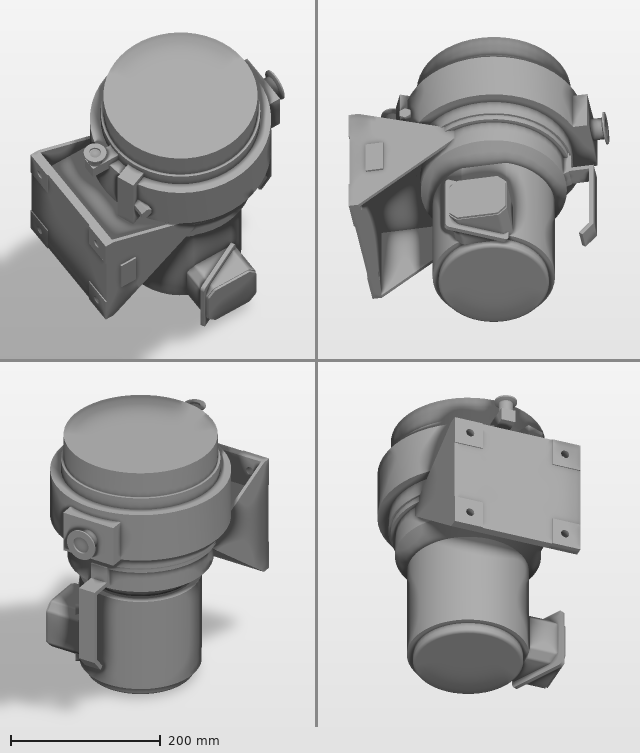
import cadquery as cq
import math

TOTAL_HEIGHT = 361.7
CAP_RADIUS = 103.0
CAP_BOTTOM = 324.8
BODY_RADIUS = 106.7
FLANGE_RADIUS = 121.0
FLANGE_TOP = 307.5
FLANGE_BOTTOM = 237.0
BODY_BOTTOM = 216.0
COLLAR_RADIUS = 103.8
COLLAR_BOTTOM = 207.5
WAIST_RADIUS = 97.5
WAIST_BOTTOM = 174.5
NECK_RADIUS = 72.7
NECK_TOP = 153.0
MOTOR_RADIUS = 81.7
MOTOR_TOP = 149.5
MOTOR_BOTTOM = 14.0
MOTOR_FLAT_X = 76.0
BASE_RADIUS = 73.8
BASE_EDGE_RADIUS = 4.0

PURGE_TUBE_RADIUS = 9.8
PURGE_FLANGE_RADIUS = 15.2
PURGE_BORE_RADIUS = 8.0
PURGE_Y = -137.5
PURGE_ARM_BOTTOM = 300.2
PURGE_ARM_TOP = 319.0
PURGE_PORT_LENGTH = 18.8

EXHAUST_TUBE_RADIUS = 14.5
EXHAUST_FLANGE_RADIUS = 21.7
EXHAUST_BORE_RADIUS = 12.0
EXHAUST_BLOCK_WIDTH = 78.5
EXHAUST_BLOCK_BOTTOM = FLANGE_BOTTOM
EXHAUST_BLOCK_TOP = 295.0
EXHAUST_BLOCK_Y = 134.0
EXHAUST_PORT_LENGTH = 19.0

PORT_RIM = 2.0
PORT_TAPER = 2.0
PORT_BORE_DEPTH = 3.0

VALVE_ANGLE = 22.0
VALVE_WIDTH = 25.3
VALVE_REACH = 131.0
VALVE_BOTTOM = 226.8
VALVE_TOP = 316.5
HEX_ACROSS_FLATS = 15.0
HEX_END_X = 78.0
HEX_Y = -106.7
HEX_Z = 264.0

HOUSING_WIDTH = 78.5
HOUSING_HEIGHT = 70.5
HOUSING_CHAMFER = 11.0
HOUSING_EDGE_RADIUS = 5.0
HOUSING_START_X = 73.8
LID_START_X = 122.0
LID_END_X = 125.0
LID_INSET = 1.0
COVER_SIZE = 88.0
COVER_THICKNESS = 5.8
COVER_CORNER_RADIUS = 5.0
COVER_ANGLE = 27.5
COVER_X = 96.2
COVER_Y = -7.2
HOUSING_Z = COVER_SIZE / 2

BRACKET_WIDTH = 181.0
BRACKET_BOTTOM = 91.0
BRACKET_TOP = 260.8
BRACKET_FACE_Y = -181.0
PAD_SIZE = 40.5
PAD_HEIGHT = 1.5
PLATE_INNER_Y = -168.0
WALL_THICKNESS = 4.7
WALL_TIP_Y = -35.5
WALL_TIP_TOP = 209.8
WALL_TIP_BOTTOM = 194.2
HOLE_RADIUS = 5.8
HOLE_SPACING_X = 136.5
HOLE_SPACING_Z = 130.0
HOLE_CENTER_Z = (BRACKET_BOTTOM + BRACKET_TOP) / 2
NAMEPLATE_THICKNESS = 2.5
NAMEPLATE_LENGTH = 24.0
NAMEPLATE_HEIGHT = 49.0
NAMEPLATE_Y = -145.5
NAMEPLATE_Z = 175.0

HOOK_WIDTH = 24.5
HOOK_THICKNESS = 6.0
HOOK_TAB_THICKNESS = 2.5
HOOK_SEAT_Y = 104.0
HOOK_OUTER_Y = 137.8
HOOK_TAB_TOP = 211.2
HOOK_ARM_TOP = 188.5
HOOK_BEND_Z = 79.5
HOOK_BEND_ANGLE = 40.0
HOOK_END_LENGTH = 24.0
SEAT_BOTTOM = 181.2
SEAT_INNER_BOTTOM = 177.2
SEAT_INNER_Y = 94.0


def box(x_range, y_range, z_range):
    """Axis-aligned box from its limits along X, Y and Z."""
    size = [end - start for start, end in (x_range, y_range, z_range)]
    return cq.Workplane().box(*size, centered=False).translate((x_range[0], y_range[0], z_range[0]))


def side_profile(points, x_start, width):
    """Extrude a Y-Z outline along +X."""
    return cq.Workplane("YZ", origin=(x_start, 0, 0)).polyline(points).close().extrude(width)


def pump_stack():
    outline = [
        (0, MOTOR_BOTTOM),
        (MOTOR_RADIUS, MOTOR_BOTTOM),
        (MOTOR_RADIUS, MOTOR_TOP),
        (NECK_RADIUS, MOTOR_TOP),
        (NECK_RADIUS, NECK_TOP),
        (WAIST_RADIUS, WAIST_BOTTOM),
        (WAIST_RADIUS, COLLAR_BOTTOM),
        (COLLAR_RADIUS, COLLAR_BOTTOM),
        (COLLAR_RADIUS, BODY_BOTTOM),
        (BODY_RADIUS, BODY_BOTTOM),
        (BODY_RADIUS, FLANGE_BOTTOM),
        (FLANGE_RADIUS, FLANGE_BOTTOM),
        (FLANGE_RADIUS, FLANGE_TOP),
        (BODY_RADIUS, FLANGE_TOP),
        (BODY_RADIUS, CAP_BOTTOM),
        (CAP_RADIUS, CAP_BOTTOM),
        (CAP_RADIUS, TOTAL_HEIGHT),
        (0, TOTAL_HEIGHT),
    ]
    stack = cq.Workplane("XZ").polyline(outline).close().revolve(360, (0, 0, 0), (0, 1, 0))
    motor_side = box(
        (MOTOR_FLAT_X, MOTOR_RADIUS), (-MOTOR_RADIUS, MOTOR_RADIUS), (MOTOR_BOTTOM, MOTOR_TOP)
    )
    base = cq.Workplane().circle(BASE_RADIUS).extrude(MOTOR_BOTTOM)
    base = base.faces("<Z").edges().fillet(BASE_EDGE_RADIUS)
    return stack.cut(motor_side).union(base)


def vacuum_port(tube_radius, flange_radius, bore_radius, length):
    """Flanged tube along +Z from the origin, with a shallow round recess in its end."""
    bore_floor = length - PORT_BORE_DEPTH
    outline = [
        (0, 0),
        (tube_radius, 0),
        (tube_radius, length - PORT_RIM - PORT_TAPER),
        (flange_radius, length - PORT_RIM),
        (flange_radius, length),
        (bore_radius, length),
        (bore_radius, bore_floor),
        (0, bore_floor),
    ]
    return cq.Workplane("XZ").polyline(outline).close().revolve(360, (0, 0, 0), (0, 1, 0))


def purge_port():
    arm = box(
        (-PURGE_TUBE_RADIUS, PURGE_TUBE_RADIUS),
        (PURGE_Y - PURGE_TUBE_RADIUS, 0),
        (PURGE_ARM_BOTTOM, PURGE_ARM_TOP),
    )
    port = vacuum_port(PURGE_TUBE_RADIUS, PURGE_FLANGE_RADIUS, PURGE_BORE_RADIUS, PURGE_PORT_LENGTH)
    return arm.union(port.translate((0, PURGE_Y, PURGE_ARM_TOP)))


def exhaust_port():
    block = box(
        (-EXHAUST_BLOCK_WIDTH / 2, EXHAUST_BLOCK_WIDTH / 2),
        (0, EXHAUST_BLOCK_Y),
        (EXHAUST_BLOCK_BOTTOM, EXHAUST_BLOCK_TOP),
    )
    port = vacuum_port(
        EXHAUST_TUBE_RADIUS, EXHAUST_FLANGE_RADIUS, EXHAUST_BORE_RADIUS, EXHAUST_PORT_LENGTH
    )
    middle_z = (EXHAUST_BLOCK_BOTTOM + EXHAUST_BLOCK_TOP) / 2
    port = port.rotate((0, 0, 0), (1, 0, 0), -90).translate((0, EXHAUST_BLOCK_Y, middle_z))
    return block.union(port)


def valve_block():
    block = box(
        (-VALVE_WIDTH / 2, VALVE_WIDTH / 2),
        (-VALVE_REACH, -WAIST_RADIUS),
        (VALVE_BOTTOM, VALVE_TOP),
    )
    block = block.rotate((0, 0, 0), (0, 0, 1), VALVE_ANGLE)
    across_corners = HEX_ACROSS_FLATS / math.cos(math.radians(30))
    start_x = VALVE_REACH * math.sin(math.radians(VALVE_ANGLE))
    fitting = (
        cq.Workplane("YZ", origin=(start_x, HEX_Y, HEX_Z))
        .transformed(rotate=(0, 0, 90))
        .polygon(6, across_corners)
        .extrude(HEX_END_X - start_x)
    )
    return block.union(fitting)


def chamfered_bar(start_x, end_x, inset):
    """Bar along +X with the housing's cross-section, drawn in by an inset on every side."""
    return (
        cq.Workplane("YZ", origin=(start_x, 0, HOUSING_Z))
        .rect(HOUSING_WIDTH - 2 * inset, HOUSING_HEIGHT - 2 * inset)
        .extrude(end_x - start_x)
        .edges("|X")
        .chamfer(HOUSING_CHAMFER)
        .edges("|X")
        .fillet(HOUSING_EDGE_RADIUS)
    )


def connector_housing():
    """Chamfered housing with a lid, passing through a square cover turned about Z."""
    housing = chamfered_bar(HOUSING_START_X, LID_START_X, 0)
    lid = chamfered_bar(LID_START_X, LID_END_X, LID_INSET)
    cover = (
        cq.Workplane("YZ")
        .rect(COVER_SIZE, COVER_SIZE)
        .extrude(COVER_THICKNESS)
        .edges("|X")
        .fillet(COVER_CORNER_RADIUS)
        .rotate((0, 0, 0), (0, 0, 1), COVER_ANGLE)
        .translate((COVER_X, COVER_Y, HOUSING_Z))
    )
    return housing.union(lid).union(cover)


def hook_seat():
    """Pad on the +Y side of the waist that carries the hook."""
    outline = [
        (SEAT_INNER_Y, BODY_BOTTOM),
        (HOOK_SEAT_Y, BODY_BOTTOM),
        (HOOK_SEAT_Y, SEAT_BOTTOM),
        (SEAT_INNER_Y, SEAT_INNER_BOTTOM),
    ]
    return side_profile(outline, -HOOK_WIDTH / 2, HOOK_WIDTH)


def make_pump():
    pump = pump_stack()
    for feature in (purge_port, exhaust_port, valve_block, connector_housing, hook_seat):
        pump = pump.union(feature())
    return pump


def bracket_walls():
    outline = [
        (PLATE_INNER_Y, BRACKET_TOP),
        (WALL_TIP_Y, WALL_TIP_TOP),
        (WALL_TIP_Y, WALL_TIP_BOTTOM),
        (PLATE_INNER_Y, BRACKET_BOTTOM),
    ]
    left_wall = side_profile(outline, -BRACKET_WIDTH / 2, WALL_THICKNESS)
    return left_wall.union(left_wall.mirror("YZ"))


def bracket_plate():
    """Back plate with a raised, drilled pad at each corner."""
    half_width = BRACKET_WIDTH / 2
    plate_outer_y = BRACKET_FACE_Y + PAD_HEIGHT
    plate = box((-half_width, half_width), (plate_outer_y, PLATE_INNER_Y), (BRACKET_BOTTOM, BRACKET_TOP))
    for x in (-half_width, half_width - PAD_SIZE):
        for z in (BRACKET_BOTTOM, BRACKET_TOP - PAD_SIZE):
            pad = box((x, x + PAD_SIZE), (BRACKET_FACE_Y, plate_outer_y), (z, z + PAD_SIZE))
            plate = plate.union(pad)
    holes = (
        cq.Workplane("XZ", origin=(0, PLATE_INNER_Y, HOLE_CENTER_Z))
        .rarray(HOLE_SPACING_X, HOLE_SPACING_Z, 2, 2)
        .circle(HOLE_RADIUS)
        .extrude(PLATE_INNER_Y - BRACKET_FACE_Y)
    )
    return plate.cut(holes)


def make_bracket(pump):
    """Walls, back plate and a shelf under the pump body, cut to fit round the pump."""
    half_width = BRACKET_WIDTH / 2
    wall_slope = (BRACKET_TOP - WALL_TIP_TOP) / (PLATE_INNER_Y - WALL_TIP_Y)
    shelf_end_y = WALL_TIP_Y + (BODY_BOTTOM - WALL_TIP_TOP) / wall_slope
    shelf = box((-half_width, half_width), (PLATE_INNER_Y, shelf_end_y), (COLLAR_BOTTOM, BODY_BOTTOM))
    nameplate = cq.Workplane().box(NAMEPLATE_THICKNESS, NAMEPLATE_LENGTH, NAMEPLATE_HEIGHT)
    nameplate = nameplate.translate((half_width + NAMEPLATE_THICKNESS / 2, NAMEPLATE_Y, NAMEPLATE_Z))
    bracket = bracket_plate().union(bracket_walls()).union(shelf).union(nameplate)
    return bracket.cut(pump)


def make_hook():
    """Bent strip: upright tab, outward arm, long drop and an end turned back to the pump."""
    bend = math.radians(HOOK_BEND_ANGLE)
    inner_y = HOOK_OUTER_Y - HOOK_THICKNESS
    inner_bend_z = HOOK_BEND_Z + HOOK_THICKNESS * math.tan(bend / 2)
    tip_y = HOOK_OUTER_Y - HOOK_END_LENGTH * math.sin(bend)
    tip_z = HOOK_BEND_Z - HOOK_END_LENGTH * math.cos(bend)
    outline = [
        (HOOK_SEAT_Y, HOOK_TAB_TOP),
        (HOOK_SEAT_Y + HOOK_TAB_THICKNESS, HOOK_TAB_TOP),
        (HOOK_SEAT_Y + HOOK_TAB_THICKNESS, HOOK_ARM_TOP),
        (HOOK_OUTER_Y, HOOK_ARM_TOP),
        (HOOK_OUTER_Y, HOOK_BEND_Z),
        (tip_y, tip_z),
        (tip_y - HOOK_THICKNESS * math.cos(bend), tip_z + HOOK_THICKNESS * math.sin(bend)),
        (inner_y, inner_bend_z),
        (inner_y, HOOK_ARM_TOP - HOOK_THICKNESS),
        (HOOK_SEAT_Y, HOOK_ARM_TOP - HOOK_THICKNESS),
    ]
    return side_profile(outline, -HOOK_WIDTH / 2, HOOK_WIDTH)


pump = make_pump()
bracket = make_bracket(pump)
hook = make_hook()
result = cq.Compound.makeCompound([body.solids().val() for body in (pump, bracket, hook)])